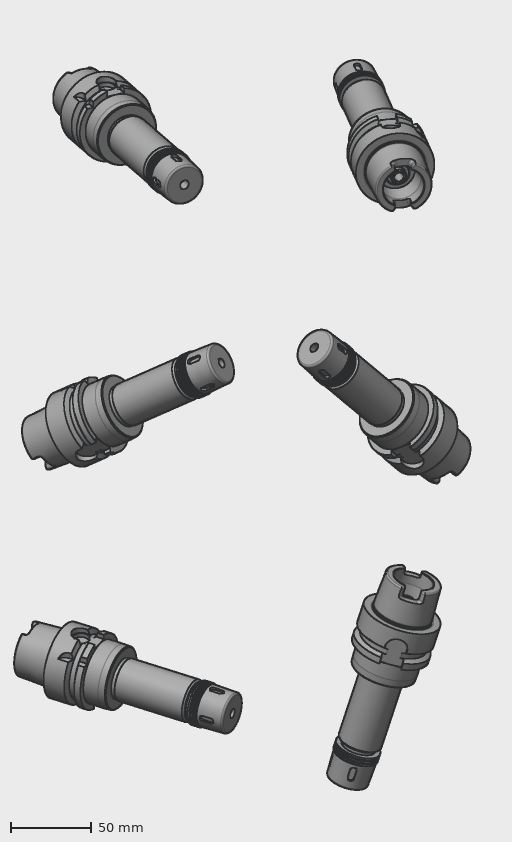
import cadquery as cq


TOLERANCE = 0.01

SHANK_LENGTH = 25.0
SHANK_ROOT_RADIUS = 19.1
TAPER = 9.98
SHANK_END_FILLET = 1.0
SHANK_TAPER_END = -2.15
UNDERCUT_START = -1.3
UNDERCUT_FILLET_START = -0.4
UNDERCUT_RADIUS = 18.75
UNDERCUT_FILLET = 0.65
UNDERCUT_MOUTH_RADIUS = 20.3
UNDERCUT_FLOOR_X = UNDERCUT_FILLET_START + UNDERCUT_FILLET
UNDERCUT_FLOOR_RADIUS = UNDERCUT_RADIUS + UNDERCUT_FILLET

FLANGE_RADIUS = 25.0
FLANGE_WIDTH = 26.0
GROOVE_RADIUS = 21.5
GROOVE_CENTRE = 18.1
GROOVE_FLOOR_WIDTH = 3.6
GROOVE_MOUTH_WIDTH = 7.0

COLLAR_RADIUS = 21.0
COLLAR_STEP_X = 36.1
COLLAR_REAR_RADIUS = 20.75
COLLAR_END = 41.5
COLLAR_CHAMFER = 0.6

NECK_RADIUS = 13.5
BODY_RADIUS = 14.0
BODY_START = 44.3
BODY_START_CHAMFER = 0.4
BODY_END = 93.0
BODY_END_CHAMFER = 1.3

NUT_NECK_RADIUS = 11.0
NUT_START = 95.9
NUT_END = 120.0
RIB_RADIUS = 14.5
RIB_WIDTH = 1.3
RIB_PITCH = 2.2
RIB_COUNT = 3
RIB_SLOPE_WIDTH = 0.45
RIB_GROOVE_RADIUS = 13.7
NUT_RADIUS = 13.95
NUT_END_RADIUS = 13.4
NUT_END_FILLET = 1.4
WRENCH_SLOT_START = 104.2
WRENCH_SLOT_END = 113.8
WRENCH_SLOT_WIDTH = 4.0
WRENCH_SLOT_FLOOR = 12.0
WRENCH_SLOT_COUNT = 4

BORE_RADIUS = 13.0
BORE_MOUTH_CHAMFER = 0.4
BORE_CONE_START = -15.0
BORE_FLOOR = -4.0
BORE_FLOOR_RADIUS = 11.7
TUBE_COLLAR_RADIUS = 8.0
TUBE_COLLAR_HEIGHT = 3.0
TUBE_COLLAR_CHAMFER = 0.75
TUBE_RADIUS = 5.0
TUBE_HEIGHT = 7.0
TUBE_CHAMFER = 0.75
COOLANT_HOLE_RADIUS = 3.0

DRIVE_SLOT_WIDTH = 10.6
DRIVE_SLOT_DEPTH_TOP = 4.4
DRIVE_SLOT_DEPTH_BOTTOM = 7.5
DRIVE_SLOT_FLOOR_FILLET = 1.8
SLOT_MOUTH_FILLET = 1.0
DRIVE_SLOT_FLARE_START = 13.7
DRIVE_SLOT_FLARE_RADIUS = 2.6

KEYWAY_WIDTH_TOP = 12.0
KEYWAY_WIDTH_BOTTOM = 14.0
KEYWAY_CENTRE_X = 13.0
KEYWAY_FLOOR = 21.0
KEYWAY_HOLE_RADIUS = 5.5
KEYWAY_HOLE_DEPTH = 3.0
CORNER_NOTCH_OFFSET = 15.6
CORNER_NOTCH_END_RADIUS = 6.0


def revolve_outline(outline):
    """Turn a closed (x, radius) outline about the X axis."""
    return outline.close().revolve(360, (0, 0, 0), (1, 0, 0))


def make_shank():
    """Tapered shank with an undercut that runs into the flange face."""
    taper_length = SHANK_LENGTH + SHANK_TAPER_END
    tip_radius = SHANK_ROOT_RADIUS - taper_length / TAPER / 2
    shank = revolve_outline(
        cq.Workplane("XY")
        .moveTo(-SHANK_LENGTH, 0)
        .lineTo(-SHANK_LENGTH, tip_radius)
        .lineTo(SHANK_TAPER_END, SHANK_ROOT_RADIUS)
        .lineTo(UNDERCUT_START, SHANK_ROOT_RADIUS)
        .lineTo(UNDERCUT_FILLET_START, UNDERCUT_RADIUS)
        .radiusArc((UNDERCUT_FLOOR_X, UNDERCUT_FLOOR_RADIUS), -UNDERCUT_FILLET)
        .lineTo(UNDERCUT_FLOOR_X, 0)
    )
    return shank.faces("<X").edges().fillet(SHANK_END_FILLET)


def make_bore():
    """Blind bore of the shank, with the coolant tube left standing on its floor."""
    bore = revolve_outline(
        cq.Workplane("XY")
        .moveTo(-SHANK_LENGTH, 0)
        .lineTo(-SHANK_LENGTH, BORE_RADIUS + BORE_MOUTH_CHAMFER)
        .lineTo(-SHANK_LENGTH + BORE_MOUTH_CHAMFER, BORE_RADIUS)
        .lineTo(BORE_CONE_START, BORE_RADIUS)
        .lineTo(BORE_FLOOR, BORE_FLOOR_RADIUS)
        .lineTo(BORE_FLOOR, 0)
    )
    tube_collar = make_bore_boss(TUBE_COLLAR_RADIUS, TUBE_COLLAR_HEIGHT, TUBE_COLLAR_CHAMFER)
    tube = make_bore_boss(TUBE_RADIUS, TUBE_HEIGHT, TUBE_CHAMFER)
    return bore.cut(tube_collar).cut(tube)


def make_coolant_hole():
    """Hole along the whole axis of the part."""
    start = cq.Workplane("YZ", origin=(-SHANK_LENGTH, 0, 0))
    return start.circle(COOLANT_HOLE_RADIUS).extrude(SHANK_LENGTH + NUT_END)


def make_bore_boss(radius, height, chamfer):
    """Cylinder standing on the bore floor, chamfered at its free end."""
    boss = cq.Workplane("YZ", origin=(BORE_FLOOR, 0, 0)).circle(radius).extrude(-height)
    return boss.faces("<X").chamfer(chamfer)


def make_flange():
    """Flange disc with the gripper groove and the sloping mouth of the undercut."""
    floor_half = GROOVE_FLOOR_WIDTH / 2
    mouth_half = GROOVE_MOUTH_WIDTH / 2
    return revolve_outline(
        cq.Workplane("XY")
        .moveTo(UNDERCUT_FLOOR_X, 0)
        .lineTo(UNDERCUT_FLOOR_X, UNDERCUT_FLOOR_RADIUS)
        .lineTo(0, UNDERCUT_MOUTH_RADIUS)
        .lineTo(0, FLANGE_RADIUS)
        .lineTo(GROOVE_CENTRE - mouth_half, FLANGE_RADIUS)
        .lineTo(GROOVE_CENTRE - floor_half, GROOVE_RADIUS)
        .lineTo(GROOVE_CENTRE + floor_half, GROOVE_RADIUS)
        .lineTo(GROOVE_CENTRE + mouth_half, FLANGE_RADIUS)
        .lineTo(FLANGE_WIDTH, FLANGE_RADIUS)
        .lineTo(FLANGE_WIDTH, 0)
    )


def make_collar_and_body():
    """Collar behind the flange, the long body and the thin neck that carries the nut."""
    return revolve_outline(
        cq.Workplane("XY")
        .moveTo(FLANGE_WIDTH, 0)
        .lineTo(FLANGE_WIDTH, COLLAR_RADIUS)
        .lineTo(COLLAR_STEP_X, COLLAR_RADIUS)
        .lineTo(COLLAR_END - COLLAR_CHAMFER, COLLAR_REAR_RADIUS)
        .lineTo(COLLAR_END, COLLAR_REAR_RADIUS - COLLAR_CHAMFER)
        .lineTo(COLLAR_END, NECK_RADIUS)
        .lineTo(BODY_START - BODY_START_CHAMFER, NECK_RADIUS)
        .lineTo(BODY_START, BODY_RADIUS)
        .lineTo(BODY_END - BODY_END_CHAMFER, BODY_RADIUS)
        .lineTo(BODY_END, BODY_RADIUS - BODY_END_CHAMFER)
        .lineTo(BODY_END, NUT_NECK_RADIUS)
        .lineTo(NUT_START, NUT_NECK_RADIUS)
        .lineTo(NUT_START, 0)
    )


def make_nut():
    """Nut with saw-tooth ribs at its rear end and a slight taper towards its rounded front end."""
    outline = cq.Workplane("XY").moveTo(NUT_START, 0)
    for rib in range(RIB_COUNT):
        rib_start = NUT_START + rib * RIB_PITCH
        rib_end = rib_start + RIB_WIDTH
        outline = (
            outline.lineTo(rib_start, RIB_GROOVE_RADIUS)
            .lineTo(rib_start, RIB_RADIUS)
            .lineTo(rib_end, RIB_RADIUS)
            .lineTo(rib_end + RIB_SLOPE_WIDTH, RIB_GROOVE_RADIUS)
        )
    taper_start = rib_end + RIB_SLOPE_WIDTH
    nut = revolve_outline(
        outline.lineTo(taper_start, NUT_RADIUS)
        .lineTo(NUT_END, NUT_END_RADIUS)
        .lineTo(NUT_END, 0)
    )
    return nut.faces(">X").edges().fillet(NUT_END_FILLET)


def make_wrench_slots():
    """Blind round-ended slots spaced evenly round the nut."""
    slot_length = WRENCH_SLOT_END - WRENCH_SLOT_START
    slot_middle = (WRENCH_SLOT_START + WRENCH_SLOT_END) / 2
    slot = (
        cq.Workplane("XY", origin=(slot_middle, 0, WRENCH_SLOT_FLOOR))
        .slot2D(slot_length, WRENCH_SLOT_WIDTH)
        .extrude(RIB_RADIUS - WRENCH_SLOT_FLOOR)
    )
    slots = cq.Workplane("XY")
    for index in range(WRENCH_SLOT_COUNT):
        angle = index * 360 / WRENCH_SLOT_COUNT
        slots = slots.union(slot.rotate((0, 0, 0), (1, 0, 0), angle))
    return slots


def is_wall_edge(edge, plane_x):
    """True for the edges where the slot's side walls and their flares meet the plane X = plane_x."""
    box = edge.BoundingBox()
    middle = edge.positionAt(0.5)
    half_width = DRIVE_SLOT_WIDTH / 2
    in_plane = abs(box.xmin - plane_x) < TOLERANCE and abs(box.xmax - plane_x) < TOLERANCE
    outside_slot = abs(middle.y) - half_width
    return in_plane and -TOLERANCE < outside_slot < DRIVE_SLOT_FLARE_RADIUS - TOLERANCE


def fillet_slot_walls(slot, plane_x, radius):
    """Round the wall edges of the slot tool that lie in the plane X = plane_x."""
    edges = [edge for edge in slot.edges().vals() if is_wall_edge(edge, plane_x)]
    return slot.newObject([slot.val().fillet(radius, edges)])


def make_drive_slot(depth):
    """Tool that cuts one slot across the +Z wall of the shank end.

    The side walls flare outwards, the floor corners are rounded, and a plate in front of the
    shank carries the rounding of the wall edges at the open end.
    """
    half_width = DRIVE_SLOT_WIDTH / 2
    flare_half_width = half_width + DRIVE_SLOT_FLARE_RADIUS
    flare_end = DRIVE_SLOT_FLARE_START + DRIVE_SLOT_FLARE_RADIUS
    top = FLANGE_RADIUS
    end_plane = cq.Workplane("YZ", origin=(-SHANK_LENGTH, 0, 0))
    slot = (
        end_plane.moveTo(-half_width, 0)
        .lineTo(-half_width, DRIVE_SLOT_FLARE_START)
        .radiusArc((-flare_half_width, flare_end), -DRIVE_SLOT_FLARE_RADIUS)
        .lineTo(-flare_half_width, top)
        .lineTo(flare_half_width, top)
        .lineTo(flare_half_width, flare_end)
        .radiusArc((half_width, DRIVE_SLOT_FLARE_START), -DRIVE_SLOT_FLARE_RADIUS)
        .lineTo(half_width, 0)
        .close()
        .extrude(depth)
    )
    slot = fillet_slot_walls(slot, depth - SHANK_LENGTH, DRIVE_SLOT_FLOOR_FILLET)
    plate = end_plane.rect(2 * top, 2 * top).extrude(-SLOT_MOUTH_FILLET)
    return fillet_slot_walls(slot.union(plate), -SHANK_LENGTH, SLOT_MOUTH_FILLET)


def make_keyway(width):
    """Slot over the +Z side of the flange, round at its blind end."""
    run_out = FLANGE_WIDTH - KEYWAY_CENTRE_X
    height = FLANGE_RADIUS - KEYWAY_FLOOR
    floor = cq.Workplane("XY", origin=(KEYWAY_CENTRE_X, 0, KEYWAY_FLOOR))
    straight = floor.center(run_out / 2, 0).rect(run_out, width).extrude(height)
    round_end = floor.circle(width / 2).extrude(height)
    return straight.union(round_end)


def make_keyway_hole():
    """Shallow round hole in the floor of the +Z keyway."""
    floor = cq.Workplane("XY", origin=(KEYWAY_CENTRE_X, 0, KEYWAY_FLOOR))
    return floor.circle(KEYWAY_HOLE_RADIUS).extrude(-KEYWAY_HOLE_DEPTH)


def make_corner_notch():
    """Step cut into the -Y +Z corner of the flange, with one rounded inner end."""
    width = FLANGE_RADIUS - CORNER_NOTCH_OFFSET
    length = FLANGE_WIDTH - KEYWAY_CENTRE_X + CORNER_NOTCH_END_RADIUS
    notch = cq.Workplane("XY").box(length, width, width, centered=False)
    notch = notch.edges("|Z and <X and >Y").fillet(CORNER_NOTCH_END_RADIUS)
    return notch.translate((FLANGE_WIDTH - length, -FLANGE_RADIUS, CORNER_NOTCH_OFFSET))


def flip(shape):
    """Half turn about the X axis."""
    return shape.rotate((0, 0, 0), (1, 0, 0), 180)


shank = make_shank().cut(make_drive_slot(DRIVE_SLOT_DEPTH_TOP))
shank = shank.cut(flip(make_drive_slot(DRIVE_SLOT_DEPTH_BOTTOM)))
shank = shank.cut(make_bore())

flange = make_flange().cut(make_keyway(KEYWAY_WIDTH_TOP)).cut(make_keyway_hole())
flange = flange.cut(flip(make_keyway(KEYWAY_WIDTH_BOTTOM))).cut(make_corner_notch())

nut = make_nut().cut(make_wrench_slots())
result = shank.union(flange).union(make_collar_and_body()).union(nut).cut(make_coolant_hole())